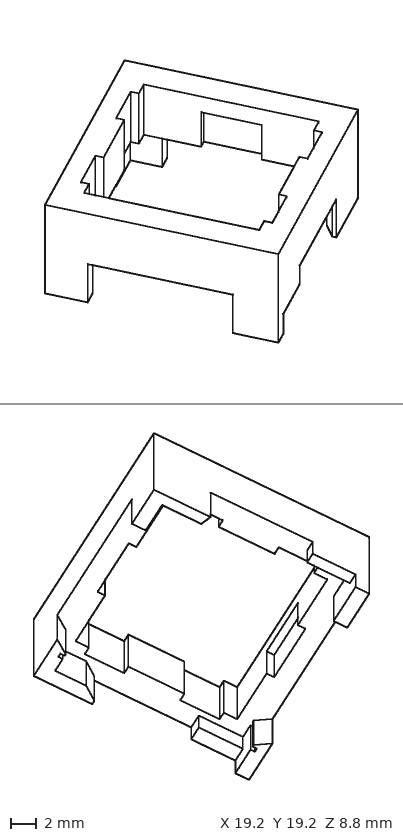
import cadquery as cq

SIDE = 19.22
HALF = SIDE / 2
HEIGHT = 8.8

LEDGE_Z = 3.8
OPENING = 14.42
RECESS_DEPTH = 0.67
PAD_LENGTH = 5.0
CORNER_BLOCK = 1.2
POCKET_TOP = 7.25

CAVITY_LEFT = -8.7
CAVITY_RIGHT = 8.38
CAVITY_HALF_Y = 8.38

Y_WINDOW_LEFT = -6.1
Y_WINDOW_RIGHT = 5.85
Y_BEVEL_RUN = 0.85
LEFT_WINDOW_HALF = 4.55
LEFT_BEVEL_RUN = 0.33
RIGHT_WINDOW_FRONT = -4.44
RIGHT_WINDOW_BACK = 4.38
RIGHT_BEVEL_RUN = 1.23
RIGHT_LIP = 0.35
NOTCH_TOP = 1.96

SLOT_LEFT = 6.85
SLOT_RIGHT = 7.17
SLOT_DEPTH = 0.38


def block(x_range, y_range, z_range):
    """Axis-aligned box between the given limits."""
    low = [min(limits) for limits in (x_range, y_range, z_range)]
    size = [abs(limits[1] - limits[0]) for limits in (x_range, y_range, z_range)]
    return cq.Workplane("XY").box(*size, centered=False).translate(tuple(low))


def lower_prism(points):
    """Plan outline raised from the base to the ledge."""
    return cq.Workplane("XY").polyline(points).close().extrude(LEDGE_Z)


def opening_cutter():
    """Square opening with two recesses beside each pad and a pocket in each Y wall."""
    half_opening = OPENING / 2
    recess_wall = half_opening + RECESS_DEPTH
    half_pad = PAD_LENGTH / 2
    recess_end = half_opening - CORNER_BLOCK
    full = (LEDGE_Z, HEIGHT)
    cutter = block((-half_opening, half_opening), (-half_opening, half_opening), full)
    for side in (-1, 1):
        recess = block((-recess_wall, recess_wall), (side * half_pad, side * recess_end), full)
        pocket = block((-half_pad, half_pad), (0, side * recess_wall), (LEDGE_Z, POCKET_TOP))
        cutter = cutter.union(recess).union(pocket)
    return cutter


def y_wall_window(side):
    """Window in the front (-1) or back (1) wall, with one bevelled end."""
    outer = side * HALF
    inner = side * CAVITY_HALF_Y
    return lower_prism([
        (Y_WINDOW_LEFT, outer),
        (Y_WINDOW_RIGHT, outer),
        (Y_WINDOW_RIGHT + Y_BEVEL_RUN, inner),
        (Y_WINDOW_LEFT, inner),
    ])


def y_leg_slot(side):
    """Upright slot in the inner face of the right-hand front or back leg."""
    inner = side * CAVITY_HALF_Y
    return block((SLOT_LEFT, SLOT_RIGHT), (inner, inner + side * SLOT_DEPTH), (0, LEDGE_Z))


def left_window():
    return lower_prism([
        (-HALF, -LEFT_WINDOW_HALF),
        (-HALF, LEFT_WINDOW_HALF),
        (CAVITY_LEFT, LEFT_WINDOW_HALF + LEFT_BEVEL_RUN),
        (CAVITY_LEFT, -LEFT_WINDOW_HALF),
    ])


def right_window():
    return lower_prism([
        (HALF, RIGHT_WINDOW_FRONT),
        (HALF, RIGHT_WINDOW_BACK),
        (HALF - RIGHT_LIP, RIGHT_WINDOW_BACK),
        (CAVITY_RIGHT, RIGHT_WINDOW_BACK + RIGHT_BEVEL_RUN),
        (CAVITY_RIGHT, RIGHT_WINDOW_FRONT),
    ])


frame = block((-HALF, HALF), (-HALF, HALF), (0, HEIGHT))
cavity = block((CAVITY_LEFT, CAVITY_RIGHT), (-CAVITY_HALF_Y, CAVITY_HALF_Y), (0, LEDGE_Z))
notch = block((-HALF, HALF), (-CAVITY_HALF_Y, RIGHT_WINDOW_FRONT), (0, NOTCH_TOP))

result = frame.cut(opening_cutter()).cut(cavity).cut(notch).cut(left_window()).cut(right_window())
for wall_side in (-1, 1):
    result = result.cut(y_wall_window(wall_side)).cut(y_leg_slot(wall_side))